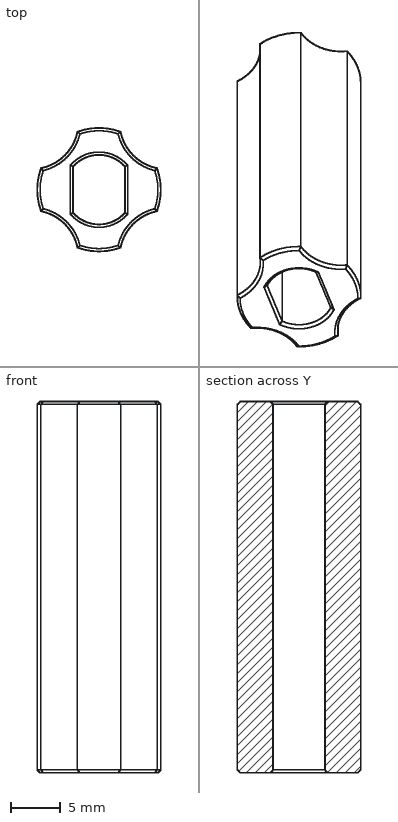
import cadquery as cq
import math

length = 37.5
lobe_diameter = 12.5
lobe_width = 4.36
flute_depth_radius = 4.9
lobe_count = 4
bore_diameter = 7.0
bore_flat_width = 5.2
chamfer_size = 0.3

lobe_radius = lobe_diameter / 2
lobe_pitch = 360 / lobe_count
lobe_half_angle = math.degrees(math.asin(lobe_width / 2 / lobe_radius))


def polar(radius, angle_degrees):
    """Point at a radius and angle about the part's axis."""
    angle = math.radians(angle_degrees)
    return (radius * math.cos(angle), radius * math.sin(angle))


def make_body():
    """Knob body: round lobe tips on the axes, joined by concave flutes."""
    outline = cq.Workplane("XY").moveTo(*polar(lobe_radius, -lobe_half_angle))
    for index in range(lobe_count):
        lobe_angle = index * lobe_pitch
        next_angle = lobe_angle + lobe_pitch
        outline = outline.threePointArc(
            polar(lobe_radius, lobe_angle),
            polar(lobe_radius, lobe_angle + lobe_half_angle),
        )
        outline = outline.threePointArc(
            polar(flute_depth_radius, lobe_angle + lobe_pitch / 2),
            polar(lobe_radius, next_angle - lobe_half_angle),
        )
    return outline.close().extrude(length)


def make_bore():
    """Through bore: a cylinder with two flats parallel to the YZ plane."""
    cylinder = cq.Workplane("XY").circle(bore_diameter / 2).extrude(length)
    flats = cq.Workplane("XY").rect(bore_flat_width, bore_diameter).extrude(length)
    return cylinder.intersect(flats)


sleeve = make_body().cut(make_bore())
result = sleeve.faces("<Z or >Z").edges().chamfer(chamfer_size)